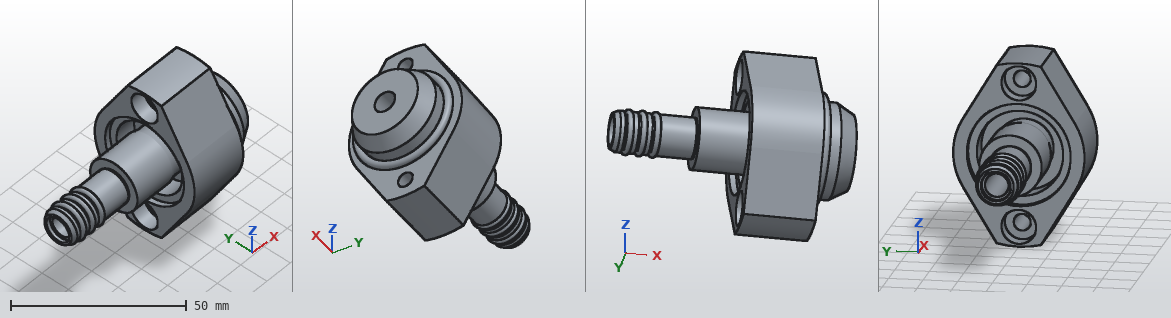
import cadquery as cq
import math


total_length = 69.0
shoulder_x = 23.95
flange_front_x = 37.1
flange_back_x = 58.0
nose_cone_x = 63.95

bore_diameter = 6.8
mouth_diameter = 8.6
mouth_depth = 1.5
tube_diameter = 12.0
tip_chamfer_length = 1.6
tip_chamfer_drop = 0.8
relief_diameter = 11.8
relief_width = 0.4
groove_start_x = 3.0
groove_width = 2.5
groove_pitch = 3.9
groove_count = 3
groove_fillet = 0.35

small_ring_inner_diameter = 9.5
small_ring_section = 1.8

shaft_diameter = 18.0
shaft_cone_x = 39.0
shaft_cone_length = 2.9
neck_diameter = 16.7

flange_width = 38.0
flange_height = 53.8
flange_side_angle = 31.2
bolt_spacing = 42.1
bolt_hole_diameter = 4.9
bolt_head_diameter = 10.0
bolt_head_depth = 5.5

outer_recess_diameter = 30.0
outer_recess_depth = 2.1
inner_recess_diameter = 25.0
recess_depth = 9.6

nose_diameter = 28.0
nose_end_diameter = 22.2
large_ring_section = 2.6


def cylinder(diameter, start_x, end_x):
    """Cylinder on the X axis."""
    return cq.Workplane("YZ", origin=(start_x, 0, 0)).circle(diameter / 2).extrude(end_x - start_x)


def cone(start_diameter, end_diameter, start_x, end_x):
    """Truncated cone on the X axis."""
    height = end_x - start_x
    solid = cq.Solid.makeCone(
        start_diameter / 2, end_diameter / 2, height, cq.Vector(start_x, 0, 0), cq.Vector(1, 0, 0)
    )
    return cq.Workplane(obj=solid)


def ring(inner_diameter, section, center_x):
    """Sealing ring of round section around the X axis."""
    ring_radius = (inner_diameter + section) / 2
    solid = cq.Solid.makeTorus(ring_radius, section / 2, cq.Vector(center_x, 0, 0), cq.Vector(1, 0, 0))
    return cq.Workplane(obj=solid)


def flange_plate():
    """Plate with arcs at all four ends, joined by sloping flats that run tangent into the side arcs."""
    side_radius = flange_width / 2
    end_radius = flange_height / 2
    angle = math.radians(flange_side_angle)
    tangent_y = side_radius * math.cos(angle)
    tangent_z = side_radius * math.sin(angle)
    corner_angle = angle + math.acos(side_radius / end_radius)
    corner_y = end_radius * math.cos(corner_angle)
    corner_z = end_radius * math.sin(corner_angle)
    outline = (
        cq.Workplane("YZ", origin=(flange_front_x, 0, 0))
        .moveTo(tangent_y, -tangent_z)
        .threePointArc((side_radius, 0), (tangent_y, tangent_z))
        .lineTo(corner_y, corner_z)
        .threePointArc((0, end_radius), (-corner_y, corner_z))
        .lineTo(-tangent_y, tangent_z)
        .threePointArc((-side_radius, 0), (-tangent_y, -tangent_z))
        .lineTo(-corner_y, -corner_z)
        .threePointArc((0, -end_radius), (corner_y, -corner_z))
        .close()
    )
    return outline.extrude(flange_back_x - flange_front_x)


def bolt_hole(center_z):
    """Through hole with a deep counterbore from the front face of the flange."""
    hole = cylinder(bolt_hole_diameter, flange_front_x, flange_back_x)
    head = cylinder(bolt_head_diameter, flange_front_x, flange_front_x + bolt_head_depth)
    return hole.union(head).translate((0, 0, center_z))


def recessed_flange():
    """Flange plate with its stepped recess and its two bolt holes."""
    outer_recess = cylinder(outer_recess_diameter, flange_front_x, flange_front_x + outer_recess_depth)
    inner_recess = cylinder(inner_recess_diameter, flange_front_x, flange_front_x + recess_depth)
    flange = flange_plate().cut(outer_recess).cut(inner_recess)
    for side in (-1, 1):
        flange = flange.cut(bolt_hole(side * bolt_spacing / 2))
    return flange


def groove_x(index):
    """Start of a ring groove."""
    return groove_start_x + index * groove_pitch


def ring_groove(start_x):
    """Tool that cuts one groove with rounded corners at its floor."""
    end_x = start_x + groove_width
    core = cylinder(small_ring_inner_diameter, start_x, end_x)
    blank = cylinder(tube_diameter, start_x, end_x).cut(core)
    floor_edges = blank.edges("%CIRCLE").edges(cq.selectors.RadiusNthSelector(0))
    return floor_edges.fillet(groove_fillet)


def tube():
    """Tube with a chamfered tip, three ring grooves and a shallow relief at the shoulder."""
    tip_diameter = tube_diameter - 2 * tip_chamfer_drop
    relief_x = shoulder_x - relief_width
    body = (
        cone(tip_diameter, tube_diameter, 0, tip_chamfer_length)
        .union(cylinder(tube_diameter, tip_chamfer_length, relief_x))
        .union(cylinder(relief_diameter, relief_x, shoulder_x))
    )
    for index in range(groove_count):
        body = body.cut(ring_groove(groove_x(index)))
    return body


def shaft():
    """Shaft with a cone down to the neck that stands on the floor of the flange recess."""
    cone_end_x = shaft_cone_x + shaft_cone_length
    return (
        cylinder(shaft_diameter, shoulder_x, shaft_cone_x)
        .union(cone(shaft_diameter, neck_diameter, shaft_cone_x, cone_end_x))
        .union(cylinder(neck_diameter, cone_end_x, flange_front_x + recess_depth))
    )


def nose():
    """Plug behind the flange with a tapered end."""
    return cylinder(nose_diameter, flange_back_x, nose_cone_x).union(
        cone(nose_diameter, nose_end_diameter, nose_cone_x, total_length)
    )


def make_housing():
    """Tube, shaft, flange and nose in one piece, with a bore right through."""
    bore = cylinder(bore_diameter, 0, total_length)
    mouth = cylinder(mouth_diameter, 0, mouth_depth)
    return recessed_flange().union(shaft()).union(tube()).union(nose()).cut(bore).cut(mouth)


def make_small_ring(index):
    """Ring seated on the groove floor and against the far groove wall."""
    center_x = groove_x(index) + groove_width - small_ring_section / 2
    return ring(small_ring_inner_diameter, small_ring_section, center_x)


def make_large_ring():
    """Ring around the nose, lying against the back face of the flange."""
    return ring(nose_diameter, large_ring_section, flange_back_x + large_ring_section / 2)


housing = make_housing()
small_rings = [make_small_ring(index) for index in range(groove_count)]
large_ring = make_large_ring()

result = cq.Compound.makeCompound(
    [housing.val(), *[small_ring.val() for small_ring in small_rings], large_ring.val()]
)